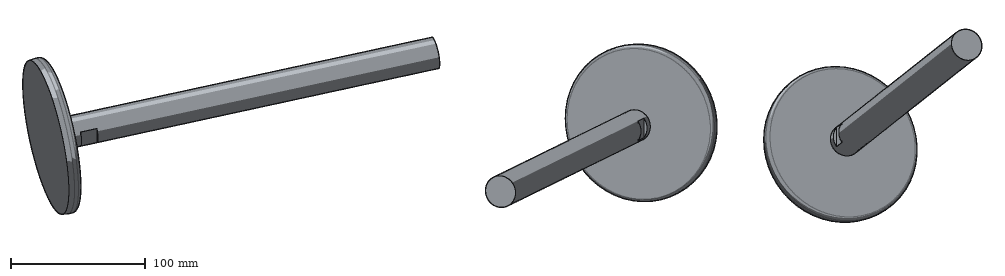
import cadquery as cq
import math

total_length = 302.0
disc_radius = 118.0 / 2
shaft_radius = 24.0 / 2

face_radius = disc_radius - 0.5
taper_height = 4.2
band_top = 7.2
shoulder_radius = 2.7
cone_top = 17.2

flat_start = 24.2
flat_length = 12.7
across_flats = 18.7


def shoulder_angle():
    """Slope of a cone running from the shaft to a tangent point on the shoulder arc."""
    center_x = disc_radius - shoulder_radius
    run = center_x - shaft_radius
    drop = cone_top - band_top
    return math.atan2(drop, run) - math.asin(shoulder_radius / math.hypot(run, drop))


def make_body():
    """Disc, cone and shaft as one revolved half profile."""
    slope = shoulder_angle()
    center_x = disc_radius - shoulder_radius

    def shoulder_point(angle):
        return (
            center_x + shoulder_radius * math.cos(angle),
            band_top + shoulder_radius * math.sin(angle),
        )

    arc_end = math.pi / 2 - slope
    return (
        cq.Workplane("XY")
        .moveTo(0, 0)
        .lineTo(face_radius, 0)
        .lineTo(disc_radius, taper_height)
        .lineTo(disc_radius, band_top)
        .threePointArc(shoulder_point(arc_end / 2), shoulder_point(arc_end))
        .lineTo(shaft_radius, cone_top)
        .lineTo(shaft_radius, total_length)
        .lineTo(0, total_length)
        .close()
        .revolve(360, (0, 0, 0), (0, 1, 0))
    )


def make_flat_cutter(side):
    """Block removing the shaft material outside one wrench flat."""
    block_size = 2 * shaft_radius
    return cq.Workplane("XY").box(block_size, flat_length, block_size).translate(
        (side * (across_flats + block_size) / 2, flat_start + flat_length / 2, 0)
    )


result = make_body()
for side in (-1, 1):
    result = result.cut(make_flat_cutter(side))